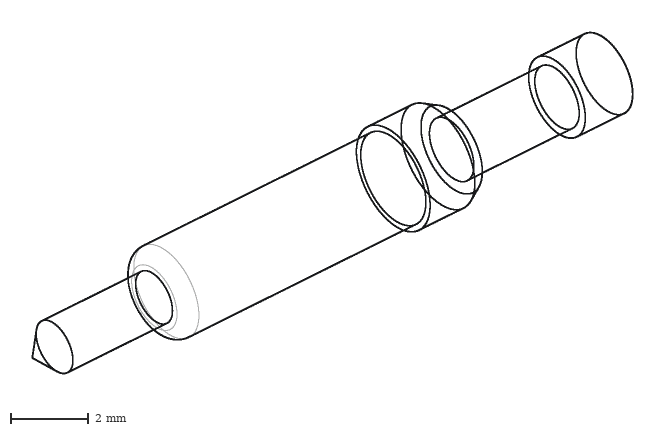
import cadquery as cq


plunger_radius = 0.75
barrel_radius = 1.32
collar_radius = 1.5
neck_radius = 0.9
head_radius = 1.15

total_length = 19.2
tip_length = plunger_radius
plunger_length = 4.09
barrel_length = 8.03
collar_length = 1.95
head_length = 1.6

barrel_round = 0.4
bevel_length = 0.46
bevel_depth = 0.25

barrel_front = plunger_length
collar_front = barrel_front + barrel_length
collar_back = collar_front + collar_length
head_front = total_length - head_length


def shaft_section(radius, start, end):
    """Solid cylinder on the Y axis reaching from Y = start to Y = end."""
    return cq.Workplane("XZ", origin=(0, start, 0)).circle(radius).extrude(start - end)


def make_plunger():
    """Thin rod with a pointed cone at its front end."""
    half_profile = (
        cq.Workplane("XY")
        .moveTo(0, 0)
        .lineTo(plunger_radius, tip_length)
        .lineTo(plunger_radius, barrel_front)
        .lineTo(0, barrel_front)
        .close()
    )
    return half_profile.revolve(360, (0, 0, 0), (0, 1, 0))


def make_barrel():
    """Main body with a rounded front rim."""
    barrel = shaft_section(barrel_radius, barrel_front, collar_front)
    return barrel.faces("<Y").edges().fillet(barrel_round)


def make_collar():
    """Stop collar with a slender bevel on its back rim."""
    half_profile = (
        cq.Workplane("XY")
        .moveTo(0, collar_front)
        .lineTo(collar_radius, collar_front)
        .lineTo(collar_radius, collar_back - bevel_length)
        .lineTo(collar_radius - bevel_depth, collar_back)
        .lineTo(0, collar_back)
        .close()
    )
    return half_profile.revolve(360, (0, 0, 0), (0, 1, 0))


neck = shaft_section(neck_radius, collar_back, head_front)
head = shaft_section(head_radius, head_front, total_length)

result = make_plunger().union(make_barrel()).union(make_collar()).union(neck).union(head)